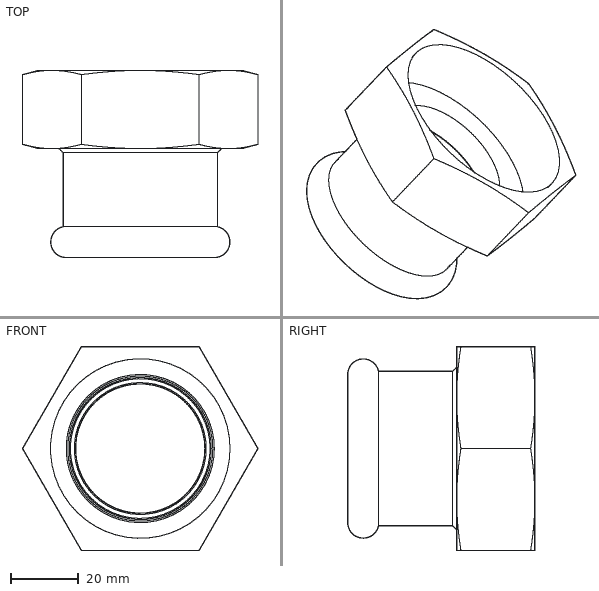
import cadquery as cq
import math

total_length = 55.1

hex_corner_diameter = 69.3
hex_across_flats = hex_corner_diameter * math.cos(math.radians(30))
nut_length = 23.0
nut_front = total_length - nut_length
corner_chamfer_angle = 15.0
nut_mouth_diameter = 50.5
nut_lip_diameter = 48.2
nut_bore_diameter = 55.4
nut_lip_length = 3.1

bead_diameter = 52.8
bead_width = 9.2
tube_diameter = 45.5
collar_diameter = 48.0
collar_chamfer_start = 30.9
flange_thickness = 2.1

mouth_lip_diameter = 42.7
mouth_lip_chamfer = 0.3
ring_width = 2.9
ring_crest_diameter = 41.8
seat_diameter = 42.4
seat_depth = 8.05
bore_diameter = 41.1
bore_lead_in = 0.35
stop_depth = 29.1
outlet_diameter = 38.0
outlet_chamfer = 0.4


def make_nut():
    """Hexagonal nut with chamfered ends and a countersunk lip in front of its wider bore."""
    corner_radius = hex_corner_diameter / 2
    flat_radius = hex_across_flats / 2
    chamfer_drop = (corner_radius - flat_radius) * math.tan(math.radians(corner_chamfer_angle))

    hexagon = (
        cq.Workplane("XZ", origin=(0, nut_front, 0))
        .polygon(6, hex_corner_diameter)
        .extrude(-nut_length)
    )

    lip_end = nut_front + nut_lip_length
    countersink_end = nut_front + (nut_mouth_diameter - nut_lip_diameter) / 2
    envelope = (
        cq.Workplane("XY")
        .moveTo(nut_mouth_diameter / 2, nut_front)
        .lineTo(flat_radius, nut_front)
        .lineTo(corner_radius, nut_front + chamfer_drop)
        .lineTo(corner_radius, total_length - chamfer_drop)
        .lineTo(flat_radius, total_length)
        .lineTo(nut_bore_diameter / 2, total_length)
        .lineTo(nut_bore_diameter / 2, lip_end)
        .lineTo(nut_lip_diameter / 2, lip_end)
        .lineTo(nut_lip_diameter / 2, countersink_end)
        .close()
        .revolve(360, (0, 0, 0), (0, 1, 0))
    )
    return hexagon.intersect(envelope)


def make_fitting():
    """Revolved press fitting: beaded socket, tube, and flange held behind the nut lip."""
    tube_radius = tube_diameter / 2
    collar_radius = collar_diameter / 2
    flange_radius = nut_bore_diameter / 2
    lip_radius = mouth_lip_diameter / 2
    seat_radius = seat_diameter / 2
    bore_radius = bore_diameter / 2
    outlet_radius = outlet_diameter / 2

    bead_radius = bead_width / 2
    bead_center = bead_diameter / 2 - bead_radius
    bead_end = bead_radius + math.sqrt(bead_radius**2 - (tube_radius - bead_center) ** 2)

    collar_start = collar_chamfer_start + collar_radius - tube_radius
    flange_front = nut_front + nut_lip_length
    flange_back = flange_front + flange_thickness

    ring_front = bead_radius - ring_width / 2
    ring_back = bead_radius + ring_width / 2

    profile = (
        cq.Workplane("XY")
        .moveTo(bead_center, 0)
        .threePointArc((bead_diameter / 2, bead_radius), (tube_radius, bead_end))
        .lineTo(tube_radius, collar_chamfer_start)
        .lineTo(collar_radius, collar_start)
        .lineTo(collar_radius, flange_front)
        .lineTo(flange_radius, flange_front)
        .lineTo(flange_radius, flange_back)
        .lineTo(outlet_radius, flange_back)
        .lineTo(outlet_radius, stop_depth + outlet_chamfer)
        .lineTo(outlet_radius + outlet_chamfer, stop_depth)
        .lineTo(bore_radius, stop_depth)
        .lineTo(bore_radius, seat_depth + bore_lead_in)
        .lineTo(seat_radius, seat_depth)
        .lineTo(seat_radius, ring_back)
        .threePointArc((ring_crest_diameter / 2, bead_radius), (lip_radius, ring_front))
        .lineTo(lip_radius, mouth_lip_chamfer)
        .close()
    )
    return profile.revolve(360, (0, 0, 0), (0, 1, 0))


nut = make_nut()
fitting = make_fitting()

result = cq.Compound.makeCompound([nut.val(), fitting.val()])